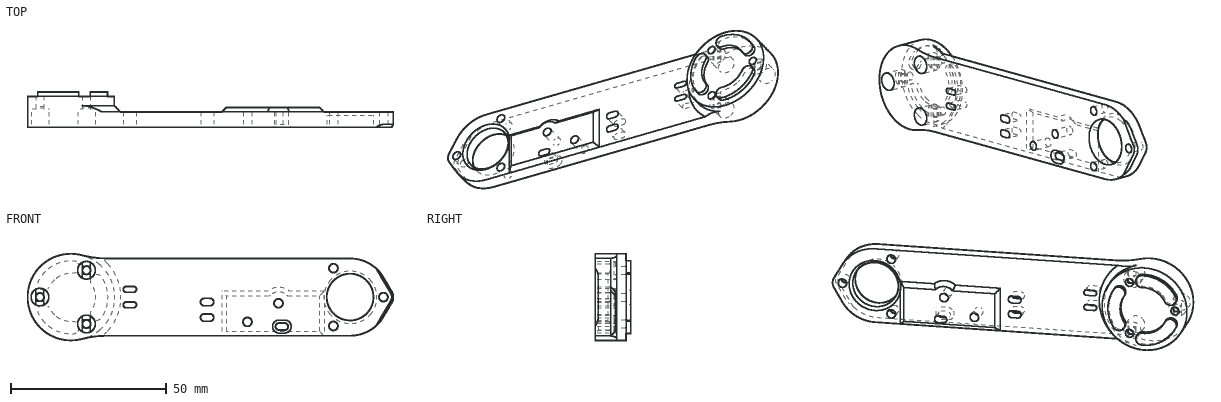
import cadquery as cq
import math


ARM_HALF_HEIGHT = 12.5
ARM_THICKNESS = 5.0

HUB_RADIUS = 14.0
HUB_HEIGHT = 10.0
BLEND_RADIUS = 30.0
SKIRT_TOP = 7.0
SKIRT_WIDTH = SKIRT_TOP - ARM_THICKNESS

RING_HEIGHT = 1.5
RING_OUTER_RADIUS = 11.8
RING_WIDTH = 4.0
RING_MID_RADIUS = RING_OUTER_RADIUS - RING_WIDTH / 2
RING_SEGMENTS = 3
SEGMENT_HALF_ANGLE = 33.5

HUB_SCREW_CIRCLE = 10.0
HUB_SCREW_ANGLES = (60, 180, 300)
HUB_SCREW_DIAMETER = 2.6
STEP_WIDTH = HUB_SCREW_DIAMETER
COUNTERBORE_DIAMETER = 5.7
COUNTERBORE_DEPTH = 6.0
STEP_DEPTH = 0.4

BEARING_X = 90.0
BEARING_DIAMETER = 15.0
BEARING_CHAMFER = 1.0
NOSE_SCREW_CIRCLE = 10.75
NOSE_SCREW_ANGLES = (0, 120, 240)
NOSE_SCREW_DIAMETER = 2.8
TIP_X = BEARING_X + NOSE_SCREW_CIRCLE
TIP_RADIUS = 3.24
NOSE_CHAMFER_WIDTH = 0.6
NOSE_CHAMFER_DEPTH = 1.0

SLOT_LENGTH = 4.2
SLOT_PITCH = 5.0
NARROW_SLOT_X = 19.0
NARROW_SLOT_WIDTH = 1.8
NARROW_SLOT_CENTER_Z = 0.0
WIDE_SLOT_X = 43.9
WIDE_SLOT_WIDTH = 2.3
WIDE_SLOT_CENTER_Z = -4.1
PAD_HOLE_DIAMETER = 2.8
PAD_HOLES = ((56.9, -8.0), (66.9, -2.0))

FLARED_SLOT_X = 68.0
FLARED_SLOT_Z = -9.5
FLARED_SLOT_LENGTH = 4.0
FLARED_SLOT_WIDTH = 2.2
FLARE = 1.0

PAD_HEIGHT = 1.5
PAD_LENGTH = 33.0
PAD_CENTER_X = 65.1
PAD_TOP_Z = 2.0
PAD_BOTTOM_Z = -ARM_HALF_HEIGHT
PAD_LOBE_RADIUS = 5.3

MARGIN = 1.0
PAD_BACK = ARM_THICKNESS + PAD_HEIGHT


def sketch(y):
    """Sketch plane at depth y with +X right and +Z up; its normal is -Y, so solids grow by -depth."""
    return cq.Workplane("XZ", origin=(0, y, 0))


def polar(radius, degrees, center_x=0.0):
    angle = math.radians(degrees)
    return (center_x + radius * math.cos(angle), radius * math.sin(angle))


def bore(x, z, diameter, y_start, y_end):
    return sketch(y_start).center(x, z).circle(diameter / 2).extrude(y_start - y_end)


def block(x, z, length, height, y_start, y_end):
    return sketch(y_start).center(x, z).rect(length, height).extrude(y_start - y_end)


def slot(x, z, length, width):
    return sketch(-MARGIN).center(x, z).slot2D(length, width).extrude(-PAD_BACK - 2 * MARGIN)


def nose_tangent_angle():
    """Direction, from the bearing axis, of the normal to the straight nose flanks."""
    return math.degrees(math.acos((ARM_HALF_HEIGHT - TIP_RADIUS) / NOSE_SCREW_CIRCLE))


def blend_center():
    """Centre of the upper blend arc, tangent to the hub and to the arm edge."""
    z = ARM_HALF_HEIGHT + BLEND_RADIUS
    return math.sqrt((HUB_RADIUS + BLEND_RADIUS) ** 2 - z**2), z


def hub_end():
    """Point where the hub arc meets the upper blend arc."""
    x, z = blend_center()
    ratio = HUB_RADIUS / (HUB_RADIUS + BLEND_RADIUS)
    return x * ratio, z * ratio


def arm_plate(y, depth):
    """Concave blends from the hub, straight arm, nose arcs and rounded tip; the left end is inside the hub."""
    blend_x, blend_z = blend_center()
    hub_end_x, hub_end_z = hub_end()
    mid_angle = (math.atan2(-blend_z, -blend_x) - math.pi / 2) / 2
    blend_mid_x = blend_x + BLEND_RADIUS * math.cos(mid_angle)
    blend_mid_z = blend_z + BLEND_RADIUS * math.sin(mid_angle)

    flank = nose_tangent_angle()
    nose_mid_x, nose_mid_z = polar(ARM_HALF_HEIGHT, (90 + flank) / 2, BEARING_X)
    nose_end_x, nose_end_z = polar(ARM_HALF_HEIGHT, flank, BEARING_X)
    tip_x, tip_z = polar(TIP_RADIUS, flank, TIP_X)

    return (
        sketch(y)
        .moveTo(hub_end_x, hub_end_z)
        .threePointArc((blend_mid_x, blend_mid_z), (blend_x, ARM_HALF_HEIGHT))
        .lineTo(BEARING_X, ARM_HALF_HEIGHT)
        .threePointArc((nose_mid_x, nose_mid_z), (nose_end_x, nose_end_z))
        .lineTo(tip_x, tip_z)
        .threePointArc((TIP_X + TIP_RADIUS, 0), (tip_x, -tip_z))
        .lineTo(nose_end_x, -nose_end_z)
        .threePointArc((nose_mid_x, -nose_mid_z), (BEARING_X, -ARM_HALF_HEIGHT))
        .lineTo(blend_x, -ARM_HALF_HEIGHT)
        .threePointArc((blend_mid_x, -blend_mid_z), (hub_end_x, -hub_end_z))
        .close()
        .extrude(-depth)
    )


def hub():
    """Hub cylinder with a conical skirt that stays inside the arm outline."""
    skirt = (
        sketch(ARM_THICKNESS)
        .circle(HUB_RADIUS + SKIRT_WIDTH)
        .workplane(offset=-SKIRT_WIDTH)
        .circle(HUB_RADIUS)
        .loft()
    )
    skirt = skirt.intersect(arm_plate(ARM_THICKNESS, SKIRT_WIDTH))
    return bore(0, 0, 2 * HUB_RADIUS, 0, HUB_HEIGHT).union(skirt)


def ring_segment(direction):
    start = direction - SEGMENT_HALF_ANGLE
    end = direction + SEGMENT_HALF_ANGLE
    inner = RING_OUTER_RADIUS - RING_WIDTH
    body = (
        sketch(HUB_HEIGHT)
        .moveTo(*polar(RING_OUTER_RADIUS, start))
        .threePointArc(polar(RING_OUTER_RADIUS, direction), polar(RING_OUTER_RADIUS, end))
        .lineTo(*polar(inner, end))
        .threePointArc(polar(inner, direction), polar(inner, start))
        .close()
        .extrude(-RING_HEIGHT)
    )
    for angle in (start, end):
        x, z = polar(RING_MID_RADIUS, angle)
        body = body.union(bore(x, z, RING_WIDTH, HUB_HEIGHT, HUB_HEIGHT + RING_HEIGHT))
    return body


def back_pad():
    height = PAD_TOP_Z - PAD_BOTTOM_Z
    pad = (
        sketch(ARM_THICKNESS)
        .center(PAD_CENTER_X, (PAD_TOP_Z + PAD_BOTTOM_Z) / 2)
        .rect(PAD_LENGTH, height)
        .workplane(offset=-PAD_HEIGHT)
        .rect(PAD_LENGTH - 2 * PAD_HEIGHT, height - 2 * PAD_HEIGHT)
        .loft()
    )
    lobe = (
        sketch(ARM_THICKNESS)
        .center(*PAD_HOLES[1])
        .circle(PAD_LOBE_RADIUS)
        .workplane(offset=-PAD_HEIGHT)
        .circle(PAD_LOBE_RADIUS - PAD_HEIGHT)
        .loft()
    )
    return pad.union(lobe)


def bearing_hole():
    """Through hole, widened by a 45 degree chamfer at the back face."""
    chamfer = (
        sketch(ARM_THICKNESS - BEARING_CHAMFER)
        .center(BEARING_X, 0)
        .circle(BEARING_DIAMETER / 2)
        .workplane(offset=-BEARING_CHAMFER)
        .circle(BEARING_DIAMETER / 2 + BEARING_CHAMFER)
        .loft()
    )
    return bore(BEARING_X, 0, BEARING_DIAMETER, -MARGIN, PAD_BACK).union(chamfer)


def hub_screw_hole(x, z):
    """Front counterbore stepping through a slot and a square down to the round hole."""
    slot_end = COUNTERBORE_DEPTH + STEP_DEPTH
    counterbore = bore(x, z, COUNTERBORE_DIAMETER, -MARGIN, COUNTERBORE_DEPTH)
    step = bore(x, z, COUNTERBORE_DIAMETER, 0, slot_end).intersect(
        block(x, z, STEP_WIDTH, COUNTERBORE_DIAMETER, 0, slot_end)
    )
    square = block(x, z, STEP_WIDTH, STEP_WIDTH, 0, slot_end + STEP_DEPTH)
    hole = bore(x, z, HUB_SCREW_DIAMETER, 0, HUB_HEIGHT + RING_HEIGHT + MARGIN)
    return counterbore.union(step).union(square).union(hole)


def flared_slot():
    through = slot(FLARED_SLOT_X, FLARED_SLOT_Z, FLARED_SLOT_LENGTH, FLARED_SLOT_WIDTH)
    mouth = (
        sketch(0)
        .center(FLARED_SLOT_X, FLARED_SLOT_Z)
        .slot2D(FLARED_SLOT_LENGTH + 2 * FLARE, FLARED_SLOT_WIDTH + 2 * FLARE)
        .workplane(offset=-FLARE)
        .slot2D(FLARED_SLOT_LENGTH, FLARED_SLOT_WIDTH)
        .loft()
    )
    return through.union(mouth)


def add_nose_section(workplane, inset):
    """Wedge between the straight nose flanks, with its rounded tip, moved inward by inset."""
    flank = nose_tangent_angle()
    radius = TIP_RADIUS - inset
    tip_x, tip_z = polar(radius, flank, TIP_X)
    back_x = tip_x - ARM_HALF_HEIGHT * math.sin(math.radians(flank))
    back_z = tip_z + ARM_HALF_HEIGHT * math.cos(math.radians(flank))
    return (
        workplane.moveTo(back_x, -back_z)
        .lineTo(tip_x, -tip_z)
        .threePointArc((TIP_X + radius, 0), (tip_x, tip_z))
        .lineTo(back_x, back_z)
        .close()
    )


def nose_chamfer_waste():
    """Material outside the bevelled wedge along the front edge of the nose."""
    front = add_nose_section(sketch(0), NOSE_CHAMFER_WIDTH)
    wedge = add_nose_section(front.workplane(offset=-NOSE_CHAMFER_DEPTH), 0).loft()
    start_x = TIP_X - TIP_RADIUS
    end_x = TIP_X + TIP_RADIUS + MARGIN
    slab = block((start_x + end_x) / 2, 0, end_x - start_x, 2 * ARM_HALF_HEIGHT, 0, NOSE_CHAMFER_DEPTH)
    return slab.cut(wedge)


def build_arm():
    arm = arm_plate(0, ARM_THICKNESS).union(hub()).union(back_pad())
    for index in range(RING_SEGMENTS):
        arm = arm.union(ring_segment(index * 360 / RING_SEGMENTS))
    arm = arm.cut(nose_chamfer_waste())

    for angle in HUB_SCREW_ANGLES:
        arm = arm.cut(hub_screw_hole(*polar(HUB_SCREW_CIRCLE, angle)))

    arm = arm.cut(bearing_hole())
    for angle in NOSE_SCREW_ANGLES:
        x, z = polar(NOSE_SCREW_CIRCLE, angle, BEARING_X)
        arm = arm.cut(bore(x, z, NOSE_SCREW_DIAMETER, -MARGIN, PAD_BACK))

    for side in (-1, 1):
        offset = side * SLOT_PITCH / 2
        arm = arm.cut(slot(NARROW_SLOT_X, NARROW_SLOT_CENTER_Z + offset, SLOT_LENGTH, NARROW_SLOT_WIDTH))
        arm = arm.cut(slot(WIDE_SLOT_X, WIDE_SLOT_CENTER_Z + offset, SLOT_LENGTH, WIDE_SLOT_WIDTH))

    for x, z in PAD_HOLES:
        arm = arm.cut(bore(x, z, PAD_HOLE_DIAMETER, -MARGIN, PAD_BACK + MARGIN))
    return arm.cut(flared_slot())


result = build_arm()